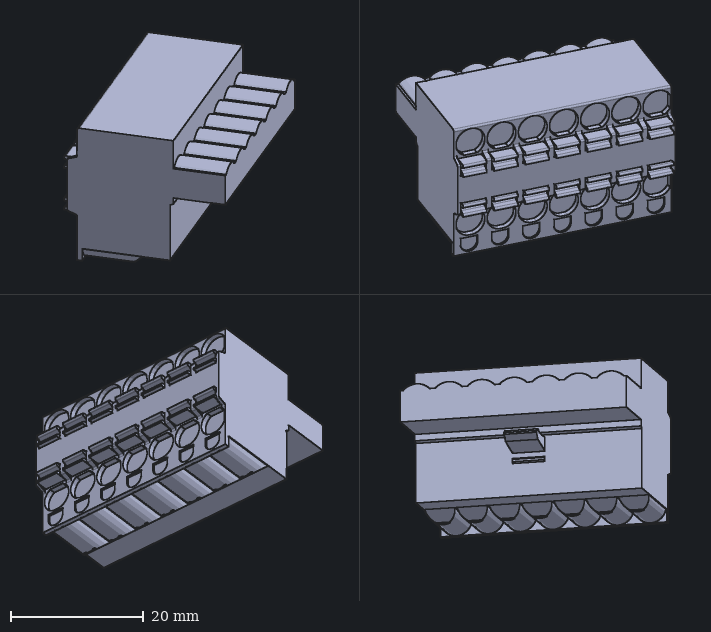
import cadquery as cq


length = 25.7
width = 35.45
height = 22.1
pole_count = 7
pole_pitch = 5.07

entry_face_x = 2.25
rear_face_x = 17.48
lower_rear_face_x = 16.95
rear_step_z = 11.52
rear_step_drop = 0.3
body_bottom_z = 2.0
lip_thickness = 0.8
top_edge_radius = 0.32

band_face_x = 0.67
band_mid_z = 12.38
band_face_half_height = 4.33
band_root_half_height = 4.85
band_fillet = 0.32

button_width = 3.85
button_offset_y = -0.07
button_top_z = 16.9
button_height = 2.05
button_row_drop = 6.95
button_root = 0.35
rib_round = 0.3
upper_rib_height = 0.55
upper_rib_lip_x = 0.2
hollow_edge_x = 0.9
hollow_drop = 0.8
hollow_height = 0.53
hollow_depth = 0.18
lower_rib_drop = 1.55
lower_rib_round = 0.2
lower_rib_tip_x = 0.05
slot_width = 4.1
slot_half_gap = 2.38
slot_end_margin = 0.67

opening_radius = 2.35
opening_offset_y = -0.2
opening_depth = 1.0
opening_end_margin = 0.25
upper_opening_z = 19.4
upper_opening_floor_z = 17.3
upper_opening_ceiling_z = upper_opening_z + opening_radius
lower_opening_z = 5.5
lower_opening_floor_z = 3.23
lower_opening_ceiling_z = 7.48
socket_radius = 1.4
socket_center_z = 1.77
socket_top_z = 2.87
socket_depth = 0.35

plug_bottom_z = 12.5
plug_flat_z = 17.4
plug_crown_z = 18.3
plug_arch_width = 4.22

ridge_radius = 2.45
ridge_end_x = 12.6
ridge_taper_start_x = 10.8
ridge_foot_x = 10.4
ridge_foot_z = 0.25

latch_width = 5.07
latch_root = 0.35
latch_top_z = 10.85
latch_bottom_z = 8.72
hook_foot = (19.93, latch_top_z)
hook_start = (20.42, 11.0)
hook_crown = (20.95, 11.25)
hook_end = (21.5, 11.03)
latch_nose = (21.85, 10.78)
latch_nose_underside = (21.77, 10.53)
latch_chin = (20.95, 9.6)
bump_bottom_z = 7.13
bump_top_z = 7.9
bump_reach = 0.3
bump_taper = 0.2

pole_ys = [(i - (pole_count - 1) / 2) * pole_pitch for i in range(pole_count)]


def box_between(x_range, y_range, z_range):
    """Axis-aligned box from its limits along X, Y and Z."""
    sizes = [high - low for low, high in (x_range, y_range, z_range)]
    return cq.Workplane("XY").box(*sizes, centered=False).translate((x_range[0], y_range[0], z_range[0]))


def extrude_across(profile, span, center_y=0.0):
    """Extrude a closed XZ profile along Y, centred on center_y."""
    return profile.extrude(span / 2, both=True).translate((0, center_y, 0))


def edge_near(x, z):
    """Selector for the long Y edge at the given X and Z."""
    return cq.selectors.NearestToPointSelector((x, 0, z))


def make_housing():
    lip_x = entry_face_x + lip_thickness
    band_corners = [
        (entry_face_x, band_mid_z - band_root_half_height),
        (band_face_x, band_mid_z - band_face_half_height),
        (band_face_x, band_mid_z + band_face_half_height),
        (entry_face_x, band_mid_z + band_root_half_height),
    ]
    outline = [
        (lip_x, body_bottom_z),
        (lip_x, 0),
        (entry_face_x, 0),
        *band_corners,
        (entry_face_x, height),
        (rear_face_x, height),
        (rear_face_x, rear_step_z),
        (lower_rear_face_x, rear_step_z - rear_step_drop),
        (lower_rear_face_x, body_bottom_z),
    ]
    housing = extrude_across(cq.Workplane("XZ").polyline(outline).close(), width)
    housing = housing.edges(edge_near(entry_face_x, height)).fillet(top_edge_radius)
    for x, z in band_corners:
        housing = housing.edges(edge_near(x, z)).fillet(band_fillet)
    return housing


def make_plug():
    plug = box_between((rear_face_x, length), (-width / 2, width / 2), (plug_bottom_z, plug_flat_z))
    for y in pole_ys:
        arch = (
            cq.Workplane("YZ", origin=(rear_face_x, y, 0))
            .moveTo(-plug_arch_width / 2, plug_flat_z)
            .threePointArc((0, plug_crown_z), (plug_arch_width / 2, plug_flat_z))
            .close()
            .extrude(length - rear_face_x)
        )
        plug = plug.union(arch)
    return plug


def make_button(center_y, top_z):
    """Push button with two rounded finger ribs and a hollow between them."""
    root_x = entry_face_x + button_root
    upper_rib_bottom = top_z - upper_rib_height
    hollow_top = top_z - hollow_drop
    hollow_bottom = hollow_top - hollow_height
    hollow_mid = hollow_top - hollow_height / 2
    lower_rib_top = top_z - lower_rib_drop
    bottom_z = top_z - button_height
    profile = (
        cq.Workplane("XZ")
        .moveTo(root_x, top_z)
        .lineTo(rib_round, top_z)
        .threePointArc((0, top_z - rib_round), (upper_rib_lip_x, upper_rib_bottom))
        .lineTo(hollow_edge_x, hollow_top)
        .threePointArc((hollow_edge_x + hollow_depth, hollow_mid), (hollow_edge_x, hollow_bottom))
        .lineTo(rib_round, lower_rib_top)
        .threePointArc((lower_rib_tip_x, lower_rib_top - lower_rib_round), (lower_rib_tip_x, bottom_z))
        .lineTo(root_x, bottom_z)
        .close()
    )
    return extrude_across(profile, button_width, center_y)


def make_slot(center_y, is_upper):
    """Clearance slot through the band, open at its outer slope and kept clear of the -Y end."""
    low_y = max(center_y - slot_width / 2, slot_end_margin - width / 2)
    y_range = (low_y, center_y + slot_width / 2)
    if is_upper:
        z_range = (band_mid_z + slot_half_gap, height)
    else:
        z_range = (0, band_mid_z - slot_half_gap)
    return box_between((0, entry_face_x), y_range, z_range)


def make_opening(center_y, center_z, floor_z, ceiling_z):
    """Round wire opening cut off flat at its floor, ceiling and the end wall."""
    disc = (
        cq.Workplane("YZ", origin=(entry_face_x, center_y, center_z))
        .circle(opening_radius)
        .extrude(opening_depth)
    )
    limits = box_between(
        (entry_face_x, entry_face_x + opening_depth),
        (opening_end_margin - width / 2, width / 2),
        (floor_z, ceiling_z),
    )
    return disc.intersect(limits)


def make_socket(center_y):
    """Test socket with a flat top and a round bottom."""
    return (
        cq.Workplane("YZ", origin=(entry_face_x, center_y, 0))
        .moveTo(-socket_radius, socket_top_z)
        .lineTo(-socket_radius, socket_center_z)
        .threePointArc((0, socket_center_z - socket_radius), (socket_radius, socket_center_z))
        .lineTo(socket_radius, socket_top_z)
        .close()
        .extrude(socket_depth)
    )


def make_ridges():
    """Round ridges under the body, tapered towards the rear."""
    start_x = entry_face_x + lip_thickness
    side = [
        (start_x, 0),
        (ridge_foot_x, 0),
        (ridge_foot_x, ridge_foot_z),
        (ridge_taper_start_x, ridge_foot_z),
        (ridge_end_x, body_bottom_z),
        (ridge_end_x, ridge_radius),
        (start_x, ridge_radius),
    ]
    rods = (
        cq.Workplane("YZ", origin=(start_x, 0, ridge_radius))
        .pushPoints([(y, 0) for y in pole_ys])
        .circle(ridge_radius)
        .extrude(ridge_end_x - start_x)
    )
    return rods.intersect(extrude_across(cq.Workplane("XZ").polyline(side).close(), width))


def make_latch():
    """Locking arm with a hooked end, and the small bump below it."""
    root_x = lower_rear_face_x - latch_root
    arm = (
        cq.Workplane("XZ")
        .moveTo(root_x, latch_top_z)
        .lineTo(*hook_foot)
        .lineTo(*hook_start)
        .threePointArc(hook_crown, hook_end)
        .lineTo(*latch_nose)
        .lineTo(*latch_nose_underside)
        .lineTo(*latch_chin)
        .lineTo(lower_rear_face_x, latch_bottom_z)
        .lineTo(root_x, latch_bottom_z)
        .close()
    )
    bump_x = lower_rear_face_x + bump_reach
    bump = cq.Workplane("XZ").polyline([
        (root_x, bump_bottom_z),
        (lower_rear_face_x, bump_bottom_z),
        (bump_x, bump_bottom_z + bump_taper),
        (bump_x, bump_top_z - bump_taper),
        (lower_rear_face_x, bump_top_z),
        (root_x, bump_top_z),
    ]).close()
    return extrude_across(arm, latch_width).union(extrude_across(bump, latch_width))


result = make_housing().union(make_plug()).union(make_ridges())

for pole_y in pole_ys:
    button_y = pole_y + button_offset_y
    opening_y = pole_y + opening_offset_y
    result = (
        result.cut(make_slot(button_y, True))
        .cut(make_slot(button_y, False))
        .cut(make_opening(opening_y, upper_opening_z, upper_opening_floor_z, upper_opening_ceiling_z))
        .cut(make_opening(opening_y, lower_opening_z, lower_opening_floor_z, lower_opening_ceiling_z))
        .cut(make_socket(pole_y))
        .union(make_button(button_y, button_top_z))
        .union(make_button(button_y, button_top_z - button_row_drop))
    )

result = result.union(make_latch())